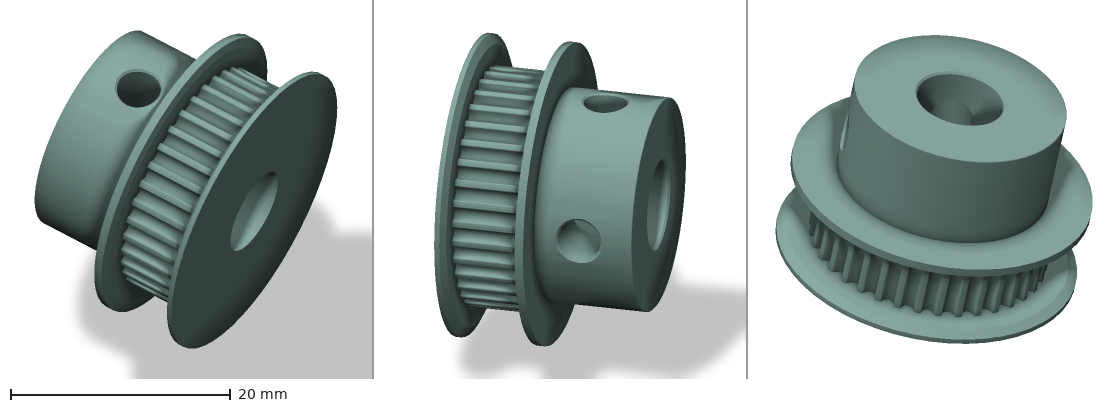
import cadquery as cq
import math

hub_length = 9.13
total_length = 17.5
hub_flange_thickness = 0.97
hub_flange_rim = 0.78
end_flange_thickness = 0.92
end_flange_rim = 0.47

flange_radius = 13.92
flange_bevel_radius = 13.0
hub_radius = 9.83
hub_chamfer = 0.05
bore_radius = 4.0
bore_chamfer = 0.2

screw_radius = 2.0
screw_chamfer = 0.2
screw_x = 4.99
screw_reach = hub_radius + screw_radius

tooth_count = 36
land_distance = 11.0
groove_depth = 0.75
groove_bottom_radius = 0.55
groove_flank_radius = 1.0
groove_lip_radius = 0.15
groove_half_width = 0.75

teeth_start = hub_length + hub_flange_thickness
teeth_end = total_length - end_flange_thickness
teeth_length = teeth_end - teeth_start
pitch_angle = 360 / tooth_count


def turned(points):
    """Solid of revolution about X from (x, radius) points."""
    return cq.Workplane("XY").polyline(points).close().revolve(360, (0, 0, 0), (1, 0, 0))


def along(start, end, distance):
    """Point on the line from start through end, at a distance from start."""
    span = math.dist(start, end)
    return tuple(s + (e - s) * distance / span for s, e in zip(start, end))


def make_hub():
    return turned([
        (0, 0),
        (0, hub_radius - hub_chamfer),
        (hub_chamfer, hub_radius),
        (hub_length, hub_radius),
        (hub_length, 0),
    ])


def make_flange(outer_x, rim_x, inner_x):
    """Disc with a plain rim and a bevel facing the teeth."""
    return turned([
        (outer_x, 0),
        (outer_x, flange_radius),
        (rim_x, flange_radius),
        (inner_x, flange_bevel_radius),
        (inner_x, 0),
    ])


def make_groove():
    """Cutter for the groove on the +Z side, built from arcs that run smoothly into each other.

    The sketch is in (y, z): the flank circle encloses the bottom circle and touches the lip circle.
    """
    land = land_distance
    bottom = (0, land - groove_depth)
    bottom_center = (0, bottom[1] + groove_bottom_radius)
    lip_center = (groove_half_width, land - groove_lip_radius)

    to_bottom = groove_flank_radius - groove_bottom_radius
    to_lip = groove_flank_radius + groove_lip_radius
    base = math.dist(bottom_center, lip_center)
    cosine = (to_bottom**2 + base**2 - to_lip**2) / (2 * to_bottom * base)
    base_angle = math.atan2(lip_center[1] - bottom_center[1], lip_center[0])
    angle = base_angle + math.acos(cosine)
    flank_center = (
        bottom_center[0] + to_bottom * math.cos(angle),
        bottom_center[1] + to_bottom * math.sin(angle),
    )

    bottom_end = along(flank_center, bottom_center, groove_flank_radius)
    flank_end = along(flank_center, lip_center, groove_flank_radius)
    land_edge = (groove_half_width, land)

    def mirrored(point):
        return (-point[0], point[1])

    cutter_top = land + groove_depth
    return (
        cq.Workplane("YZ", origin=(teeth_start, 0, 0))
        .moveTo(*mirrored(land_edge))
        .radiusArc(mirrored(flank_end), groove_lip_radius)
        .radiusArc(mirrored(bottom_end), -groove_flank_radius)
        .threePointArc(bottom, bottom_end)
        .radiusArc(flank_end, -groove_flank_radius)
        .radiusArc(land_edge, groove_lip_radius)
        .lineTo(groove_half_width, cutter_top)
        .lineTo(-groove_half_width, cutter_top)
        .close()
        .extrude(teeth_length)
    )


def make_toothed_rim():
    """Prism with one flat per tooth pitch and a groove in the middle of each flat."""
    corner_diameter = 2 * land_distance / math.cos(math.radians(pitch_angle / 2))
    rim = (
        cq.Workplane("YZ", origin=(teeth_start, 0, 0))
        .transformed(rotate=(0, 0, pitch_angle / 2))
        .polygon(tooth_count, corner_diameter)
        .extrude(teeth_length)
    )
    groove = make_groove()
    for index in range(tooth_count):
        rim = rim.cut(groove.rotate((0, 0, 0), (1, 0, 0), index * pitch_angle))
    return rim


def make_bore():
    """Through bore with a chamfered mouth at the hub face."""
    return turned([
        (0, 0),
        (0, bore_radius + bore_chamfer),
        (bore_chamfer, bore_radius),
        (total_length, bore_radius),
        (total_length, 0),
    ])


def make_drilled_hub():
    """Hub with a chamfered screw hole on +Z and another on +Y, each drilled to the axis."""
    hub = make_hub()
    hole = cq.Workplane("XY").center(screw_x, 0).circle(screw_radius).extrude(screw_reach)
    for direction, turn in (("Z", 0), ("Y", -90)):
        hub = hub.cut(hole.rotate((0, 0, 0), (1, 0, 0), turn))
        mouth = hub.edges("%BSPLINE").edges(f">{direction}")
        hub = mouth.chamfer(screw_chamfer)
    return hub


hub_flange = make_flange(hub_length, hub_length + hub_flange_rim, teeth_start)
end_flange = make_flange(total_length, total_length - end_flange_rim, teeth_end)

result = (
    make_drilled_hub()
    .union(hub_flange)
    .union(make_toothed_rim())
    .union(end_flange)
    .cut(make_bore())
)